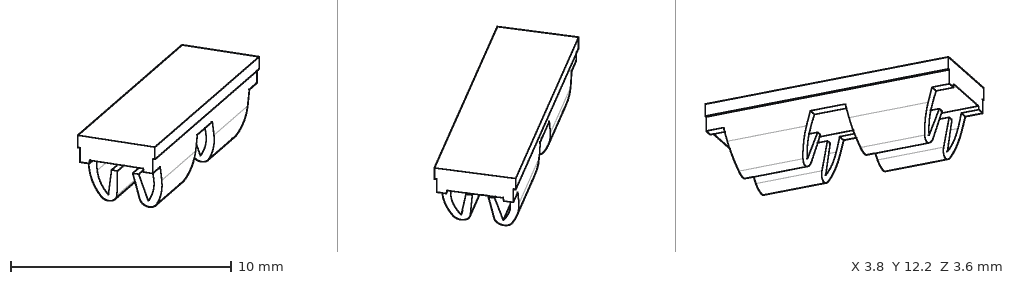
import cadquery as cq
import math

length = 12.2
cap_width = 3.8
height = 3.6

cap_thickness = 0.6
body_half_width = 1.79
body_bottom = -1.3
slot_top = -1.13
slot_half_width = 1.31

wall_thickness = 0.4
bend_start = -2.0
tip_radius = 0.45
tip_x = 1.0
tip_z = -height + tip_radius
notch_x = 0.98
notch_z = -3.26
tongue_top = -1.88
tongue_outer_x = 0.67
tongue_inner_x = 0.375
inner_bend_radius = 1.95
inner_wall_radius = 4.0

hook_pairs = 2
hook_pitch = length / hook_pairs
hook_root_length = 4.35
hook_end_slope = math.radians(15)


def outer_bend_radius():
    """Radius of the arc tangent to both the vertical side and the tip circle."""
    across = body_half_width - tip_x
    drop = bend_start - tip_z
    return (across**2 + drop**2 - tip_radius**2) / (2 * (across - tip_radius))


def tip_point(angle):
    """Point on the tip circle at the given angle from +X."""
    return (tip_x + tip_radius * math.cos(angle), tip_z + tip_radius * math.sin(angle))


def plate(depth, bottom):
    """Full-length plate as wide as the cap, standing on the given Z level."""
    block = cq.Workplane("XY").box(cap_width, length, depth, centered=(True, True, False))
    return block.translate((0, 0, bottom))


def make_cap():
    """Flat cover plate."""
    return plate(cap_thickness, -cap_thickness)


def make_side():
    """One half of the body with its hook, extruded along the whole length on the +X side."""
    bend_radius = outer_bend_radius()
    bend_x = body_half_width - bend_radius
    bend_end_angle = math.atan2(tip_z - bend_start, tip_x - bend_x)
    bend_middle = (
        bend_x + bend_radius * math.cos(bend_end_angle / 2),
        bend_start + bend_radius * math.sin(bend_end_angle / 2),
    )

    to_tongue_x = tongue_inner_x - tip_x
    to_tongue_z = tongue_top - tip_z
    tangent_angle = math.atan2(to_tongue_z, to_tongue_x) + math.acos(
        tip_radius / math.hypot(to_tongue_x, to_tongue_z)
    )

    inner_wall_x = body_half_width - wall_thickness
    profile = (
        cq.Workplane("XZ")
        .moveTo(0, -cap_thickness)
        .lineTo(body_half_width, -cap_thickness)
        .lineTo(body_half_width, bend_start)
        .threePointArc(bend_middle, tip_point(bend_end_angle))
        .threePointArc(tip_point(-math.pi / 2), tip_point(tangent_angle))
        .lineTo(tongue_inner_x, tongue_top)
        .lineTo(tongue_outer_x, tongue_top)
        .lineTo(notch_x, notch_z)
        .radiusArc((inner_wall_x, bend_start), -inner_bend_radius)
        .radiusArc((slot_half_width, slot_top), -inner_wall_radius)
        .lineTo(0, slot_top)
        .close()
    )
    return profile.extrude(length / 2, both=True)


def make_lengthwise_envelope():
    """Full-length body with tapered teeth below, used to trim the hooks to length."""
    depth = height + body_bottom
    tip_half_length = hook_root_length / 2 - depth * math.tan(hook_end_slope)
    envelope = plate(-body_bottom, body_bottom)
    for index in range(hook_pairs):
        centre = (index - (hook_pairs - 1) / 2) * hook_pitch
        tooth = (
            cq.Workplane("YZ")
            .moveTo(centre - hook_root_length / 2, body_bottom)
            .lineTo(centre + hook_root_length / 2, body_bottom)
            .lineTo(centre + tip_half_length, -height)
            .lineTo(centre - tip_half_length, -height)
            .close()
            .extrude(cap_width / 2, both=True)
        )
        envelope = envelope.union(tooth)
    return envelope


side = make_side()
body = side.union(side.mirror("YZ"))
result = make_cap().union(body.intersect(make_lengthwise_envelope())).clean()